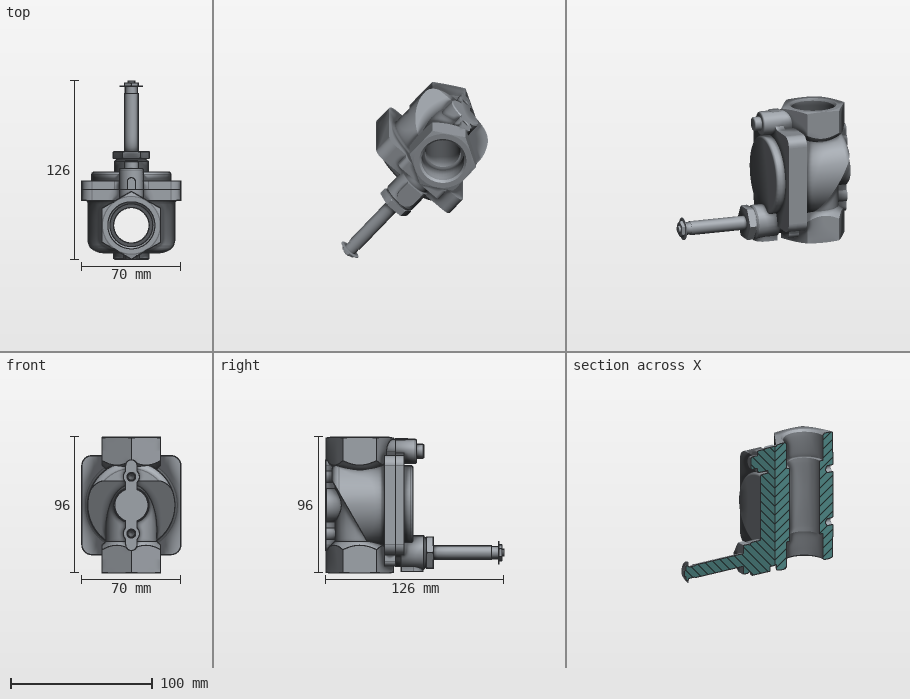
import cadquery as cq
import math


HEX_CORNERS_PER_FLATS = 2 / math.sqrt(3)

PAD_FACE_Y = -24.1
BODY_FRONT_Y = -19.4
FLANGE_FRONT_Y = 17.6
PARTING_Y = 25.3
FLANGE_BACK_Y = 31.4
TOTAL_LENGTH = 126.0
TIP_Y = PAD_FACE_Y + TOTAL_LENGTH

FLANGE_SIDE = 70.0
FLANGE_HALF = FLANGE_SIDE / 2
FLANGE_CORNER_R = 7.2

BOWL_R = 30.7
BOWL_EDGE_FILLET = 4.9
BOWL_ROOT_FILLET = 1.8
SLANT_START_Z = 17.1
SLANT_ANGLE = 60.0

PORT_END_Z = 48.0
PORT_HEX_FLATS = 41.5
PORT_HEX_R = PORT_HEX_FLATS * HEX_CORNERS_PER_FLATS / 2
PORT_FACE_R = 20.4
PORT_FACE_DROP = 0.6
NECK_R = 18.0
NECK_END_Z = 25.6
BORE_DIA = 25.0
THREAD_DIA = 30.2
THREAD_DEPTH = 20.2
THREAD_CHAMFER = 1.5

PAD_DISC_DIA = 25.0
PAD_DISC_CHAMFER = 0.8
PAD_BAR_WIDTH = 8.0
PAD_BAR_LENGTH = 64.0
PAD_EYE_DIA = 11.3
PAD_HOLE_DIA = 4.9
PAD_HOLE_MOUTH_DIA = 6.2
PAD_HOLE_DEPTH = 5.0
PAD_HOLE_PITCH = 40.1
DRILL_POINT_ANGLE = 118.0

UPPER_BOSS_Z = 38.0
UPPER_BOSS_DIA = 17.0
UPPER_BOSS_END_Y = 40.2
UPPER_BOSS_FILLET = 1.3
PLUG_DIA = 10.0
PLUG_END_Y = 45.4
PLUG_FILLET = 1.1
WEB_HALF_WIDTH = 12.0
WEB_HEIGHT = 2.0
WEB_ARC_R = 4.2
LUG_HALF_WIDTH = 19.2
LUG_BOTTOM_Z = -43.1
LUG_CORNER_R = 3.4

DOME_R = 28.0
DOME_BACK_Y = 37.7
DOME_FILLET = 1.9

SOLENOID_Z = -33.5
SADDLE_R = 10.0
SADDLE_FILLET = 5.2
SOLENOID_BOSS_DIA = 24.0
SOLENOID_BOSS_START_Y = 29.2
SOLENOID_BOSS_END_Y = 46.1
SOLENOID_BOSS_CHAMFER = 1.1
COLLAR_DIA = 21.0
NUT_START_Y = 47.1
NUT_END_Y = 52.0
NUT_FLATS = 22.2
NUT_CHAMFER = 0.5
TUBE_DIA = 10.0
TUBE_END_Y = 93.0
TUBE_NECK_DIA = 9.0
WASHER_DIA = 16.0
WASHER_START_Y = 97.9
WASHER_THICKNESS = 0.4
CAP_NUT_FLATS = 10.0
CAP_NUT_END_Y = 100.5
CAP_NUT_CHAMFER = 0.4
TIP_DIA = 5.0

UPPER_MARK_WIDTH = 5.8
UPPER_MARK_TOP_Z = 47.0
UPPER_MARK_END_Y = 33.6
LOWER_MARK_WIDTH = 13.6
LOWER_MARK_BOTTOM_Z = -47.0
LOWER_MARK_END_Y = 44.9


def plane_at(y, z=0.0):
    """Plane facing +Y whose local x is -X and local y is +Z."""
    return cq.Plane(origin=(0, y, z), xDir=(-1, 0, 0), normal=(0, 1, 0))


def rod(dia, y_start, y_end, z=0.0):
    """Cylinder along Y at height z."""
    return cq.Workplane(plane_at(y_start, z)).circle(dia / 2).extrude(y_end - y_start)


def block(half_width, z_low, z_high, y_start, y_end):
    """Box centred on X."""
    return (
        cq.Workplane(plane_at(y_start, (z_low + z_high) / 2))
        .rect(2 * half_width, z_high - z_low)
        .extrude(y_end - y_start)
    )


def hex_nut(flats, y_start, y_end, z, chamfer, turn):
    """Hexagon along Y with its corners rounded off by a cone at both ends."""
    corner_dia = flats * HEX_CORNERS_PER_FLATS
    prism = (
        cq.Workplane(plane_at(y_start, z).rotated((0, 0, turn)))
        .polygon(6, corner_dia)
        .extrude(y_end - y_start)
    )
    envelope = rod(corner_dia, y_start, y_end, z).edges().chamfer(chamfer)
    return prism.intersect(envelope)


def round_ended_mark(width, y_start, y_end, z_inner, z_outer):
    """Raised mark on the XY plane, rounded at its +Y end."""
    radius = width / 2
    return (
        cq.Workplane("XY", origin=(0, 0, z_inner))
        .moveTo(-radius, y_start)
        .lineTo(radius, y_start)
        .lineTo(radius, y_end - radius)
        .threePointArc((0, y_end), (-radius, y_end - radius))
        .close()
        .extrude(z_outer - z_inner)
    )


def flange(y_start, y_end):
    """Rounded square plate around the bonnet axis."""
    plate = block(FLANGE_HALF, -FLANGE_HALF, FLANGE_HALF, y_start, y_end)
    return plate.edges("|Y").fillet(FLANGE_CORNER_R)



def bowl():
    """Round bowl in front of the flange, cut off by the slanted face."""
    arc_mid = math.cos(math.radians(45))
    edge_centre_r = BOWL_R - BOWL_EDGE_FILLET
    edge_centre_y = BODY_FRONT_Y + BOWL_EDGE_FILLET
    root_centre_r = BOWL_R + BOWL_ROOT_FILLET
    root_centre_y = FLANGE_FRONT_Y - BOWL_ROOT_FILLET
    round_bowl = (
        cq.Workplane("XY")
        .moveTo(0, BODY_FRONT_Y)
        .lineTo(edge_centre_r, BODY_FRONT_Y)
        .threePointArc(
            (edge_centre_r + BOWL_EDGE_FILLET * arc_mid, edge_centre_y - BOWL_EDGE_FILLET * arc_mid),
            (BOWL_R, edge_centre_y),
        )
        .lineTo(BOWL_R, root_centre_y)
        .threePointArc(
            (root_centre_r - BOWL_ROOT_FILLET * arc_mid, root_centre_y + BOWL_ROOT_FILLET * arc_mid),
            (root_centre_r, FLANGE_FRONT_Y),
        )
        .lineTo(0, FLANGE_FRONT_Y)
        .close()
        .revolve(360, (0, 0, 0), (0, 1, 0))
    )
    slant_drop = SLANT_START_Z + BOWL_R
    slant_run = slant_drop / math.tan(math.radians(SLANT_ANGLE))
    below_slant = (
        cq.Workplane("YZ")
        .moveTo(BODY_FRONT_Y, SLANT_START_Z)
        .lineTo(BODY_FRONT_Y + slant_run, -BOWL_R)
        .lineTo(BODY_FRONT_Y, -BOWL_R)
        .close()
        .extrude(BOWL_R, both=True)
    )
    return round_bowl.cut(below_slant)


def port():
    """Upper hexagonal port end, running down into the neck through a 45 degree cone."""
    prism = (
        cq.Workplane("XY")
        .polygon(6, 2 * PORT_HEX_R)
        .extrude(PORT_END_Z)
        .rotate((0, 0, 0), (0, 0, 1), 90)
    )
    envelope = (
        cq.Workplane("XZ")
        .lineTo(NECK_R, 0)
        .lineTo(NECK_R, NECK_END_Z)
        .lineTo(PORT_HEX_R, NECK_END_Z + PORT_HEX_R - NECK_R)
        .lineTo(PORT_HEX_R, PORT_END_Z - PORT_FACE_DROP)
        .lineTo(PORT_FACE_R, PORT_END_Z)
        .lineTo(0, PORT_END_Z)
        .close()
        .revolve(360, (0, 0, 0), (0, 1, 0))
    )
    return prism.intersect(envelope)


def port_bore():
    """Upper half of the bore, with the wider threaded length and its mouth chamfer."""
    thread_r = THREAD_DIA / 2
    thread_start_z = PORT_END_Z - THREAD_DEPTH
    return (
        cq.Workplane("XZ")
        .lineTo(BORE_DIA / 2, 0)
        .lineTo(BORE_DIA / 2, thread_start_z)
        .lineTo(thread_r, thread_start_z)
        .lineTo(thread_r, PORT_END_Z - THREAD_CHAMFER)
        .lineTo(thread_r + THREAD_CHAMFER, PORT_END_Z)
        .lineTo(0, PORT_END_Z)
        .close()
        .revolve(360, (0, 0, 0), (0, 1, 0))
    )


def mounting_pad():
    """Flat disc with a round-ended bar and two eyes, rooted in the neck."""
    depth = -PAD_FACE_Y - BORE_DIA / 2
    disc = rod(PAD_DISC_DIA, PAD_FACE_Y, PAD_FACE_Y + depth).faces("<Y").chamfer(PAD_DISC_CHAMFER)
    bar = (
        cq.Workplane(plane_at(PAD_FACE_Y))
        .slot2D(PAD_BAR_LENGTH, PAD_BAR_WIDTH, 90)
        .extrude(depth)
    )
    pad = disc.union(bar)
    for side in (-1, 1):
        pad = pad.union(rod(PAD_EYE_DIA, PAD_FACE_Y, PAD_FACE_Y + depth, side * PAD_HOLE_PITCH / 2))
    return pad


def pad_hole(z):
    """Blind drilled hole with a chamfered mouth and a drill point."""
    hole_r = PAD_HOLE_DIA / 2
    mouth_r = PAD_HOLE_MOUTH_DIA / 2
    point_length = hole_r / math.tan(math.radians(DRILL_POINT_ANGLE / 2))
    return (
        cq.Workplane("XY")
        .moveTo(0, PAD_FACE_Y)
        .lineTo(mouth_r, PAD_FACE_Y)
        .lineTo(hole_r, PAD_FACE_Y + mouth_r - hole_r)
        .lineTo(hole_r, PAD_FACE_Y + PAD_HOLE_DEPTH)
        .lineTo(0, PAD_FACE_Y + PAD_HOLE_DEPTH + point_length)
        .close()
        .revolve(360, (0, 0, 0), (0, 1, 0))
        .translate((0, 0, z))
    )


def body_bosses():
    """Round-topped boss above the flange and rounded lug below it."""
    upper = rod(UPPER_BOSS_DIA, FLANGE_FRONT_Y, PARTING_Y, UPPER_BOSS_Z)
    stem = block(UPPER_BOSS_DIA / 2, 0, UPPER_BOSS_Z, FLANGE_FRONT_Y, PARTING_Y)
    lug = (
        block(LUG_HALF_WIDTH, LUG_BOTTOM_Z, 0, FLANGE_FRONT_Y, PARTING_Y)
        .edges("|Y and <Z")
        .fillet(LUG_CORNER_R)
    )
    return upper.union(stem).union(lug)


def make_valve_body():
    upper_port = port()
    upper_bore = port_bore()
    body = flange(FLANGE_FRONT_Y, PARTING_Y).union(bowl()).union(body_bosses())
    body = body.union(upper_port).union(upper_port.mirror("XY"))
    body = body.union(mounting_pad())
    body = body.cut(upper_bore).cut(upper_bore.mirror("XY"))
    for side in (-1, 1):
        body = body.cut(pad_hole(side * PAD_HOLE_PITCH / 2))
    return body



def upper_boss():
    """Boss with a plug above the flange, joined to it by a web with hollow sides."""
    boss = rod(UPPER_BOSS_DIA, PARTING_Y, UPPER_BOSS_END_Y, UPPER_BOSS_Z)
    boss = boss.faces(">Y").edges().fillet(UPPER_BOSS_FILLET)
    plug = rod(PLUG_DIA, UPPER_BOSS_END_Y, PLUG_END_Y, UPPER_BOSS_Z)
    plug = plug.faces(">Y").edges().fillet(PLUG_FILLET)
    web = block(WEB_HALF_WIDTH, 0, FLANGE_HALF + WEB_HEIGHT, PARTING_Y, FLANGE_BACK_Y)
    for side in (-1, 1):
        hollow = rod(2 * WEB_ARC_R, PARTING_Y, FLANGE_BACK_Y, FLANGE_HALF + WEB_ARC_R)
        web = web.cut(hollow.translate((side * WEB_HALF_WIDTH, 0, 0)))
    mark = round_ended_mark(
        UPPER_MARK_WIDTH, PARTING_Y, UPPER_MARK_END_Y, UPPER_BOSS_Z, UPPER_MARK_TOP_Z
    )
    return boss.union(plug).union(web).union(mark)


def saddle():
    """Round support under the solenoid boss, blended into the flange edge by tangent arcs."""
    arc_z = -FLANGE_HALF - SADDLE_FILLET
    arc_x = math.sqrt((SADDLE_R + SADDLE_FILLET) ** 2 - (arc_z - SOLENOID_Z) ** 2)
    tangent_z = SOLENOID_Z + (arc_z - SOLENOID_Z) * SADDLE_R / (SADDLE_R + SADDLE_FILLET)
    web = block(arc_x, tangent_z, 0, PARTING_Y, SOLENOID_BOSS_START_Y)
    for side in (-1, 1):
        hollow = rod(2 * SADDLE_FILLET, PARTING_Y, SOLENOID_BOSS_START_Y, arc_z)
        web = web.cut(hollow.translate((side * arc_x, 0, 0)))
    return web.union(rod(2 * SADDLE_R, PARTING_Y, SOLENOID_BOSS_START_Y, SOLENOID_Z))


def solenoid_boss():
    """Cylindrical boss with a raised mark on its underside."""
    boss = rod(SOLENOID_BOSS_DIA, SOLENOID_BOSS_START_Y, SOLENOID_BOSS_END_Y, SOLENOID_Z)
    boss = boss.faces(">Y").edges().chamfer(SOLENOID_BOSS_CHAMFER)
    mark = round_ended_mark(
        LOWER_MARK_WIDTH, SOLENOID_BOSS_START_Y, LOWER_MARK_END_Y, SOLENOID_Z, LOWER_MARK_BOTTOM_Z
    )
    return boss.union(mark)


def solenoid_tube():
    """Collar, nut, stepped tube, washer, cap nut and tip in one line."""
    washer_end_y = WASHER_START_Y + WASHER_THICKNESS
    tube = rod(COLLAR_DIA, SOLENOID_BOSS_END_Y, NUT_START_Y, SOLENOID_Z)
    tube = tube.union(hex_nut(NUT_FLATS, NUT_START_Y, NUT_END_Y, SOLENOID_Z, NUT_CHAMFER, 0))
    tube = tube.union(rod(TUBE_DIA, NUT_END_Y, TUBE_END_Y, SOLENOID_Z))
    tube = tube.union(rod(TUBE_NECK_DIA, TUBE_END_Y, WASHER_START_Y, SOLENOID_Z))
    tube = tube.union(rod(WASHER_DIA, WASHER_START_Y, washer_end_y, SOLENOID_Z))
    cap_nut = hex_nut(CAP_NUT_FLATS, washer_end_y, CAP_NUT_END_Y, SOLENOID_Z, CAP_NUT_CHAMFER, 90)
    tube = tube.union(cap_nut)
    return tube.union(rod(TIP_DIA, CAP_NUT_END_Y, TIP_Y, SOLENOID_Z))


def make_bonnet():
    dome = rod(2 * DOME_R, FLANGE_BACK_Y, DOME_BACK_Y).faces(">Y").edges().fillet(DOME_FILLET)
    bonnet = flange(PARTING_Y, FLANGE_BACK_Y).union(dome).union(upper_boss())
    return bonnet.union(saddle()).union(solenoid_boss()).union(solenoid_tube())


valve_body = make_valve_body()
bonnet = make_bonnet()
result = cq.Compound.makeCompound([valve_body.solids().val(), bonnet.solids().val()])